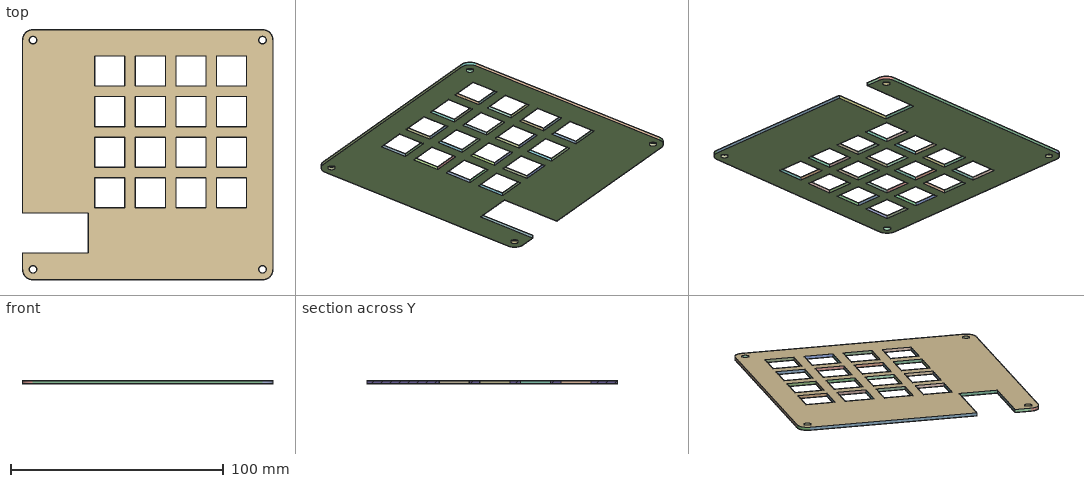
import cadquery as cq

width = 117.8
depth = 117.7
thickness = 1.5
corner_radius = 5.0

screw_hole_diameter = 3.4

keys_per_side = 4
key_pitch = 19.1
key_opening = 14.0
key_margin = 12.5

notch_length = 30.9
notch_width = 18.6
notch_front_margin = 12.7


def make_plate():
    """Flat plate centred in X and Y, resting on Z = 0, with rounded corners."""
    plate = cq.Workplane("XY").box(width, depth, thickness, centered=(True, True, False))
    return plate.edges("|Z").fillet(corner_radius)


def cut_screw_holes(plate):
    """One through hole at the centre of each corner arc."""
    spacing_x = width - 2 * corner_radius
    spacing_y = depth - 2 * corner_radius
    return (
        plate.faces(">Z").workplane(origin=(0, 0, thickness))
        .rarray(spacing_x, spacing_y, 2, 2)
        .hole(screw_hole_diameter)
    )


def cut_key_openings(plate):
    """Square through openings, placed towards the +X +Y corner."""
    grid_half_size = ((keys_per_side - 1) * key_pitch + key_opening) / 2
    grid_x = width / 2 - key_margin - grid_half_size
    grid_y = depth / 2 - key_margin - grid_half_size
    openings = (
        cq.Workplane("XY", origin=(grid_x, grid_y, 0))
        .rarray(key_pitch, key_pitch, keys_per_side, keys_per_side)
        .rect(key_opening, key_opening)
        .extrude(thickness)
    )
    return plate.cut(openings)


def cut_notch(plate):
    """Through notch running inwards from the -X edge."""
    notch = (
        cq.Workplane("XY", origin=(-width / 2, -depth / 2 + notch_front_margin, 0))
        .rect(notch_length, notch_width, centered=False)
        .extrude(thickness)
    )
    return plate.cut(notch)


result = cut_notch(cut_key_openings(cut_screw_holes(make_plate())))